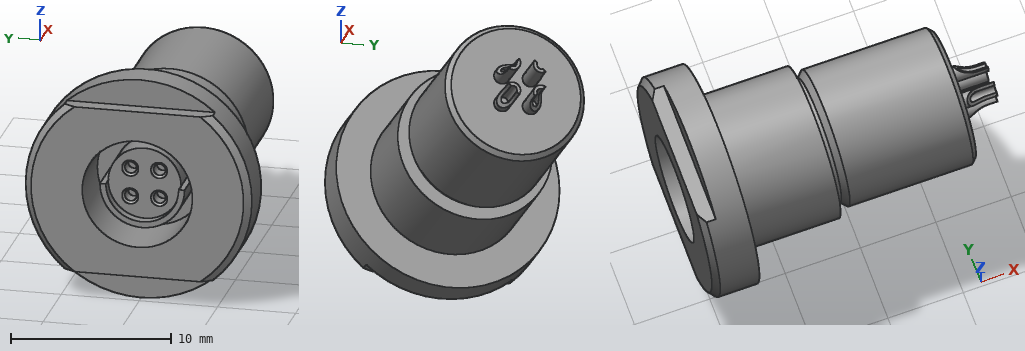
import cadquery as cq
import math

total_length = 21.0

flange_radius = 7.25
flange_end = 3.0
flange_chamfer_length = 0.4
flange_chamfer_depth = 0.45
flat_half_height = 5.48
flat_length = 1.0

front_body_radius = 5.02
front_body_end = 9.2
groove_radius = 4.1
groove_end = 9.58
rear_body_radius = 4.52
rear_body_end = 18.48
rear_lead_chamfer = rear_body_radius - groove_radius
rear_end_chamfer = 0.32

cavity_radius = 3.53
cavity_depth = 4.2
insert_radius = 2.33
insert_face = 2.04
shell_radius = 2.7
shell_face = 1.36

contact_offset = 0.92
contact_hole_radius = 0.38
contact_hole_depth = 1.05
contact_chamfer = 0.15

pin_radius = 0.5
cup_radius = 0.27
cup_start = 18.9
cup_cut_level = -0.1
cup_cut_start = 18.98
cup_flat_start = 20.33
cup_cut_width = 4 * pin_radius


def cylinder(start, end, radius):
    """Cylinder about the X axis between two X positions."""
    return cq.Workplane("YZ", origin=(start, 0, 0)).circle(radius).extrude(end - start)


def make_shell_of_revolution():
    """Flange and stepped body revolved about X."""
    profile = [
        (0, 0),
        (0, flange_radius - flange_chamfer_depth),
        (flange_chamfer_length, flange_radius),
        (flange_end, flange_radius),
        (flange_end, front_body_radius),
        (front_body_end, front_body_radius),
        (front_body_end, groove_radius),
        (groove_end, groove_radius),
        (groove_end + rear_lead_chamfer, rear_body_radius),
        (rear_body_end - rear_end_chamfer, rear_body_radius),
        (rear_body_end, rear_body_radius - rear_end_chamfer),
        (rear_body_end, 0),
    ]
    return cq.Workplane("XY").polyline(profile).close().revolve(360, (0, 0, 0), (1, 0, 0))


def cut_flats(body):
    """Remove the flange segments above and below the two flats."""
    cut_height = flange_radius - flat_half_height
    for side in (1, -1):
        segment = cq.Workplane("XY").box(flat_length, 2 * flange_radius, cut_height)
        middle = side * (flat_half_height + cut_height / 2)
        body = body.cut(segment.translate((flat_length / 2, 0, middle)))
    return body


def make_keying_shell():
    """Lower half of a tube around the insert, standing proud of its face."""
    tube = cylinder(shell_face, cavity_depth, shell_radius)
    tube = tube.cut(cylinder(shell_face, cavity_depth, insert_radius))
    length = cavity_depth - shell_face
    lower_half = cq.Workplane("XY").box(length, 2 * shell_radius, shell_radius)
    lower_half = lower_half.translate((shell_face + length / 2, 0, -shell_radius / 2))
    return tube.intersect(lower_half)


def make_contact_hole():
    """Blind contact hole on the X axis with a chamfered mouth."""
    mouth_radius = contact_hole_radius + contact_chamfer
    profile = [
        (insert_face, 0),
        (insert_face, mouth_radius),
        (insert_face + contact_chamfer, contact_hole_radius),
        (insert_face + contact_hole_depth, contact_hole_radius),
        (insert_face + contact_hole_depth, 0),
    ]
    return cq.Workplane("XY").polyline(profile).close().revolve(360, (0, 0, 0), (1, 0, 0))


def make_solder_cup():
    """Pin on the X axis with a hollow end, cut away on its +Z side."""
    pin = cylinder(rear_body_end, total_length, pin_radius)
    pin = pin.cut(cylinder(cup_start, total_length, cup_radius))
    run = cup_flat_start - cup_cut_start
    rise = pin_radius - cup_cut_level
    arc_radius = (run**2 + rise**2) / (2 * rise)
    half_angle = math.asin(run / arc_radius) / 2
    arc_middle = (
        cup_flat_start - arc_radius * math.sin(half_angle),
        cup_cut_level + arc_radius * (1 - math.cos(half_angle)),
    )
    cutaway = (
        cq.Workplane("XZ")
        .moveTo(total_length, cup_cut_level)
        .lineTo(cup_flat_start, cup_cut_level)
        .threePointArc(arc_middle, (cup_cut_start, pin_radius))
        .lineTo(total_length, pin_radius)
        .close()
        .extrude(cup_cut_width / 2, both=True)
    )
    return pin.cut(cutaway)


body = cut_flats(make_shell_of_revolution())
body = body.cut(cylinder(0, cavity_depth, cavity_radius))
body = body.union(cylinder(insert_face, cavity_depth, insert_radius))
body = body.union(make_keying_shell())

diagonal_offset = contact_offset * math.sqrt(2)
for angle in (45, 135, 225, 315):
    hole = make_contact_hole().translate((0, 0, diagonal_offset))
    cup = make_solder_cup().translate((0, 0, diagonal_offset))
    body = body.cut(hole.rotate((0, 0, 0), (1, 0, 0), angle))
    body = body.union(cup.rotate((0, 0, 0), (1, 0, 0), angle))

result = body